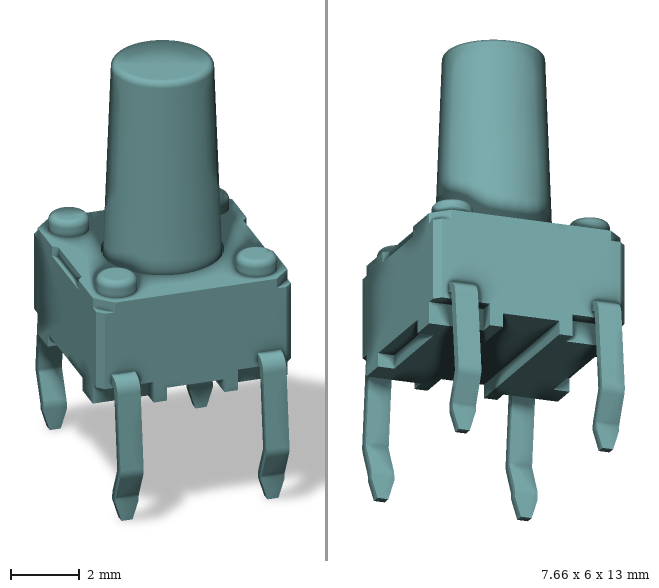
import cadquery as cq
import math


body_width = 6.0
body_bottom = 3.48
cover_bottom = 6.59
cover_top = 6.9
body_chamfer = 0.21

cover_chamfer = 0.51
button_hole_diameter = 3.6
notch_half_width = 1.2
notch_depth = 0.15

rivet_diameter = 1.2
rivet_top = 7.4
rivet_rounding = 0.21
rivet_offset = 2.16

button_top = 13.0
button_bottom_diameter = 3.5
button_top_diameter = 3.0
button_rounding = 0.2

corner_recess_depth = 0.51
corner_recess_length = 1.7
corner_recess_height = 0.66
slot_height = 0.42
through_slot_width = 1.77
side_slot_width = 3.12

leg_thickness = 0.3
leg_width = 0.72
leg_offset = 2.25
leg_exit_height = 4.45
leg_root_x = 2.6
knee_x = 3.38
elbow_x = 3.69
elbow_height = 1.72
ankle_height = 0.79
foot_x = 3.24
bend_radius = 0.31
tip_width = 0.34
taper_height = 0.6

half_width = body_width / 2


def make_housing():
    """Chamfered block with recesses under its corners and sides."""
    housing = (
        cq.Workplane("XY", origin=(0, 0, body_bottom))
        .rect(body_width, body_width)
        .extrude(cover_bottom - body_bottom)
        .edges("|Z")
        .chamfer(body_chamfer)
    )
    underside = cq.Workplane("XY", origin=(0, 0, body_bottom))

    corner_recesses = (
        underside.rect(body_width, body_width, forConstruction=True)
        .vertices()
        .rect(2 * corner_recess_depth, 2 * corner_recess_length)
        .extrude(corner_recess_height)
    )
    through_slot = underside.rect(body_width, through_slot_width).extrude(slot_height)
    side_slots = (
        underside.pushPoints([(0, -half_width), (0, half_width)])
        .rect(side_slot_width, 2 * corner_recess_depth)
        .extrude(slot_height)
    )
    return housing.cut(corner_recesses).cut(through_slot).cut(side_slots)


def make_cover():
    """Chamfered plate with a button hole and a shallow notch on two sides."""
    thickness = cover_top - cover_bottom
    plane = cq.Workplane("XY", origin=(0, 0, cover_bottom))
    cover = plane.rect(body_width, body_width).extrude(thickness).edges("|Z").chamfer(cover_chamfer)
    cover = cover.cut(plane.circle(button_hole_diameter / 2).extrude(thickness))

    inner_half_width = notch_half_width - notch_depth
    for side in (-1, 1):
        outer_y = side * half_width
        inner_y = side * (half_width - notch_depth)
        notch = plane.polyline(
            [
                (-notch_half_width, outer_y),
                (-inner_half_width, inner_y),
                (inner_half_width, inner_y),
                (notch_half_width, outer_y),
            ]
        ).close()
        cover = cover.cut(notch.extrude(thickness))
    return cover


def make_rivets():
    """Four rounded rivet heads standing on the cover."""
    return (
        cq.Workplane("XY", origin=(0, 0, cover_top))
        .rect(2 * rivet_offset, 2 * rivet_offset, forConstruction=True)
        .vertices()
        .circle(rivet_diameter / 2)
        .extrude(rivet_top - cover_top)
        .faces(">Z")
        .edges()
        .fillet(rivet_rounding)
    )


def make_button():
    """Tapered round button with a rounded top rim."""
    return (
        cq.Workplane("XY", origin=(0, 0, cover_bottom))
        .circle(button_bottom_diameter / 2)
        .workplane(offset=button_top - cover_bottom)
        .circle(button_top_diameter / 2)
        .loft()
        .faces(">Z")
        .edges()
        .fillet(button_rounding)
    )


def offset_line(points, distance):
    """Shift an open XZ polyline sideways by distance, with mitred corners."""
    normals = []
    for (x1, z1), (x2, z2) in zip(points, points[1:]):
        length = math.hypot(x2 - x1, z2 - z1)
        normals.append(((z1 - z2) / length, (x2 - x1) / length))
    shifted = []
    for (x, z), before, after in zip(points, normals[:1] + normals, normals + normals[-1:]):
        mitre = distance / (1 + before[0] * after[0] + before[1] * after[1])
        shifted.append((x + mitre * (before[0] + after[0]), z + mitre * (before[1] + after[1])))
    return shifted


def make_leg():
    """Bent strip on the +X side, centred on Y = 0, with a tapered tip."""
    centre_line = [
        (leg_root_x, leg_exit_height),
        (knee_x, leg_exit_height),
        (elbow_x, elbow_height),
        (foot_x, ankle_height),
        (foot_x, 0),
    ]
    outer = offset_line(centre_line, leg_thickness / 2)
    inner = offset_line(centre_line, -leg_thickness / 2)
    leg = (
        cq.Workplane("XZ")
        .polyline(outer + inner[::-1])
        .close()
        .extrude(leg_width / 2, both=True)
    )

    wide_radius = bend_radius + leg_thickness / 2
    tight_radius = bend_radius - leg_thickness / 2
    knee, elbow, ankle = 1, 2, 3
    bends = [
        (outer[knee], wide_radius),
        (inner[knee], tight_radius),
        (outer[elbow], wide_radius),
        (inner[elbow], tight_radius),
        (outer[ankle], tight_radius),
        (inner[ankle], wide_radius),
    ]
    for (x, z), radius in bends:
        leg = leg.edges("|Y").edges(cq.NearestToPointSelector((x, 0, z))).fillet(radius)

    silhouette = (
        cq.Workplane("YZ")
        .polyline(
            [
                (-tip_width / 2, 0),
                (tip_width / 2, 0),
                (leg_width / 2, taper_height),
                (leg_width / 2, cover_bottom),
                (-leg_width / 2, cover_bottom),
                (-leg_width / 2, taper_height),
            ]
        )
        .close()
        .extrude(body_width)
    )
    return leg.intersect(silhouette)


result = make_housing().union(make_cover()).union(make_rivets()).union(make_button())
right_leg = make_leg()
for leg in (right_leg, right_leg.mirror("YZ")):
    for leg_y in (-leg_offset, leg_offset):
        result = result.union(leg.translate((0, leg_y, 0)))